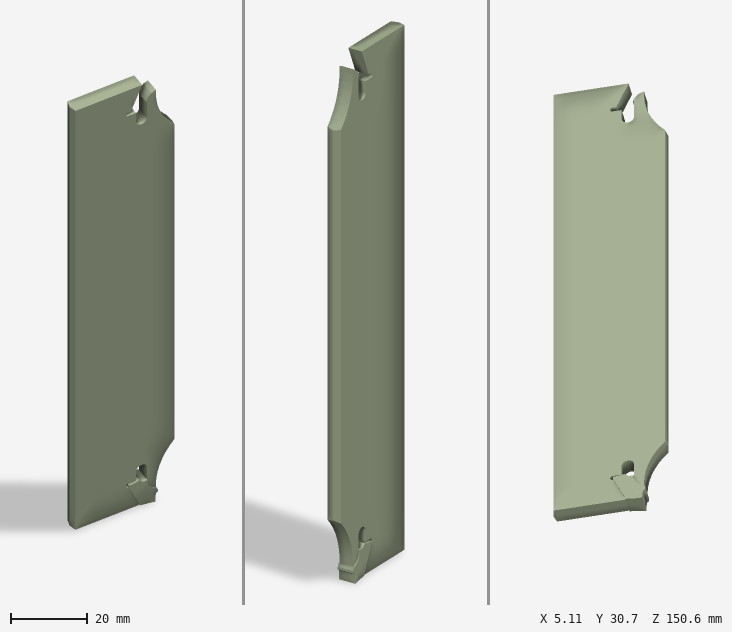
import cadquery as cq
import math

BLADE_LENGTH = 150.0
BLADE_WIDTH = 30.72
BLADE_THICKNESS = 4.2
RIDGE_ANGLE = 15.0
RIDGE_HEIGHT = BLADE_THICKNESS / 2 * math.tan(math.radians(RIDGE_ANGLE))

SEAT_CORNER = (20.5, 0.0)
SEAT_ROOT = (17.2, 7.9)
RELIEF_CENTER_Y = 16.2
RELIEF_RADIUS = 0.65
SLOT_CENTER_Y = 20.3
SLOT_RADIUS = 1.65
SLOT_DEPTH = 14.0
JAW_LIP = (21.6, 6.6)
JAW_CURVE_MID = (22.3, 5.25)
JAW_CREST = (23.3, 4.2)
JAW_TIP = (24.6, 3.7)
JAW_SHOULDER = (JAW_TIP[0], 4.9)
FLANK_DEPTH = 19.3
MARGIN = 1.0

INSERT_OVERHANG = 0.6
CUTTING_WIDTH = 5.11
BODY_WIDTH = 4.8
NOSE = (24.2, -INSERT_OVERHANG)
HEEL = (19.8, 0.0)
SEAT_TOP = (16.5, 7.7)
BACK_CORNER = (16.4, 8.6)
BACK_CREST_FOOT = (18.7, 8.8)
BACK_CREST = (19.4, 9.1)
BACK_CREST_END = (20.5, 8.1)
BACK_TOP = (21.9, 8.1)
INSERT_CURVE_MID = (22.6, 5.5)
INSERT_CURVE_END = (24.6, 4.2)
BUMP_TOP = (25.0, 3.3)
BUMP_BOTTOM = (25.0, 2.6)
RAKE_END = (24.4, 2.1)
FLARE_ANGLE = 45.0
FLARE_REACH = 20.0


def extrude_across(outline, width):
    """Extrude a closed YZ outline symmetrically along X."""
    return outline.close().extrude(width / 2, both=True)


def make_bar():
    half = BLADE_THICKNESS / 2
    section = [
        (0, 0),
        (half, RIDGE_HEIGHT),
        (half, BLADE_WIDTH - RIDGE_HEIGHT),
        (0, BLADE_WIDTH),
        (-half, BLADE_WIDTH - RIDGE_HEIGHT),
        (-half, RIDGE_HEIGHT),
    ]
    return cq.Workplane("XY").polyline(section).close().extrude(BLADE_LENGTH)


def make_mouth_cutter():
    """Material removed at the lower end: seat, relief, spring slot and sloping flank."""
    relief_far = SEAT_ROOT[1] + 2 * RELIEF_RADIUS
    slot_end = SLOT_DEPTH - SLOT_RADIUS
    slot_right = SLOT_CENTER_Y - SLOT_RADIUS
    slot_left = SLOT_CENTER_Y + SLOT_RADIUS
    outline = (
        cq.Workplane("YZ")
        .moveTo(*SEAT_CORNER)
        .lineTo(*SEAT_ROOT)
        .lineTo(RELIEF_CENTER_Y, SEAT_ROOT[1])
        .threePointArc(
            (RELIEF_CENTER_Y - RELIEF_RADIUS, SEAT_ROOT[1] + RELIEF_RADIUS),
            (RELIEF_CENTER_Y, relief_far),
        )
        .lineTo(slot_right, relief_far)
        .lineTo(slot_right, slot_end)
        .threePointArc((SLOT_CENTER_Y, SLOT_DEPTH), (slot_left, slot_end))
        .lineTo(slot_left, JAW_LIP[1])
        .lineTo(*JAW_LIP)
        .threePointArc(JAW_CURVE_MID, JAW_CREST)
        .lineTo(*JAW_TIP)
        .lineTo(*JAW_SHOULDER)
        .tangentArcPoint((BLADE_WIDTH, FLANK_DEPTH), relative=False)
        .lineTo(BLADE_WIDTH + MARGIN, FLANK_DEPTH)
        .lineTo(BLADE_WIDTH + MARGIN, -MARGIN)
        .lineTo(SEAT_CORNER[0], -MARGIN)
    )
    return extrude_across(outline, BLADE_THICKNESS + MARGIN)


def make_insert_blank():
    """Insert outline at full cutting width."""
    outline = (
        cq.Workplane("YZ")
        .moveTo(*NOSE)
        .lineTo(*HEEL)
        .lineTo(*SEAT_TOP)
        .lineTo(*BACK_CORNER)
        .lineTo(*BACK_CREST_FOOT)
        .lineTo(*BACK_CREST)
        .lineTo(*BACK_CREST_END)
        .lineTo(*BACK_TOP)
        .threePointArc(INSERT_CURVE_MID, INSERT_CURVE_END)
        .lineTo(*BUMP_TOP)
        .lineTo(*BUMP_BOTTOM)
        .lineTo(*RAKE_END)
    )
    return extrude_across(outline, CUTTING_WIDTH)


def make_insert_sides():
    """Trimming solid: parallel body sides that flare out to the cutting width at the nose."""
    angle = math.radians(FLARE_ANGLE)
    plane = cq.Plane(
        origin=(0, *RAKE_END),
        xDir=(1, 0, 0),
        normal=(0, math.cos(angle), math.sin(angle)),
    )
    nose_drop = RAKE_END[1] - NOSE[1]
    nose_step = RAKE_END[0] - NOSE[0]
    flare_length = nose_drop * math.cos(angle) - nose_step * math.sin(angle)
    body = BODY_WIDTH / 2
    edge = CUTTING_WIDTH / 2
    section = [
        (-body, -FLARE_REACH),
        (-body, 0),
        (-edge, flare_length),
        (edge, flare_length),
        (body, 0),
        (body, -FLARE_REACH),
    ]
    return cq.Workplane(plane).polyline(section).close().extrude(FLARE_REACH, both=True)


insert_blank = make_insert_blank()
insert = insert_blank.intersect(make_insert_sides())

lower_mouth = make_mouth_cutter()
upper_mouth = lower_mouth.mirror("XY", (0, 0, BLADE_LENGTH / 2))
blade = make_bar().cut(lower_mouth).cut(upper_mouth).cut(insert_blank)

result = cq.Compound.makeCompound([blade.val(), insert.val()])